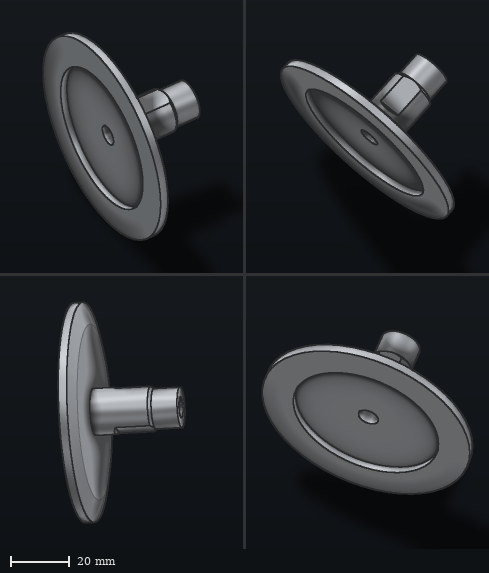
import cadquery as cq
import math

flange_diameter = 75.0
flange_thickness = 5.0
rim_thickness = 3.0
cone_angle = 15.0
recess_diameter = 52.4
recess_depth = 2.5

total_length = 35.0
body_diameter = 16.0
body_end = 26.0
neck_diameter = 13.9
bore_diameter = 7.1

flat_spacing = neck_diameter
flat_start = 13.05
shoulder_height = (body_diameter - neck_diameter) / 2
runout_length = 0.9

flange_radius = flange_diameter / 2
body_radius = body_diameter / 2
neck_radius = neck_diameter / 2
cone_width = (flange_thickness - rim_thickness) / math.tan(math.radians(cone_angle))


def turned_blank():
    """Flange and stepped stem, revolved about the Y axis."""
    profile = [
        (0, 0),
        (flange_radius, 0),
        (flange_radius, rim_thickness),
        (flange_radius - cone_width, flange_thickness),
        (body_radius, flange_thickness),
        (body_radius, body_end - shoulder_height),
        (neck_radius, body_end),
        (neck_radius, total_length),
        (0, total_length),
    ]
    return cq.Workplane("XY").polyline(profile).close().revolve(360, (0, 0), (0, 1))


def cylinder_along_y(diameter, length):
    """Cylinder from the front face towards +Y."""
    return cq.Workplane("XZ").circle(diameter / 2).extrude(-length)


def flat_cutter():
    """Material above the upper flat, with a sloped runout at the flange end."""
    flat_height = flat_spacing / 2
    section = [
        (flat_start, flat_height),
        (body_end, flat_height),
        (body_end, body_radius),
        (flat_start - runout_length, body_radius),
    ]
    return cq.Workplane("YZ").polyline(section).close().extrude(body_radius, both=True)


result = turned_blank()
result = result.cut(cylinder_along_y(recess_diameter, recess_depth))
result = result.cut(cylinder_along_y(bore_diameter, total_length))

upper_flat = flat_cutter()
for cutter in (upper_flat, upper_flat.mirror("XY")):
    result = result.cut(cutter)